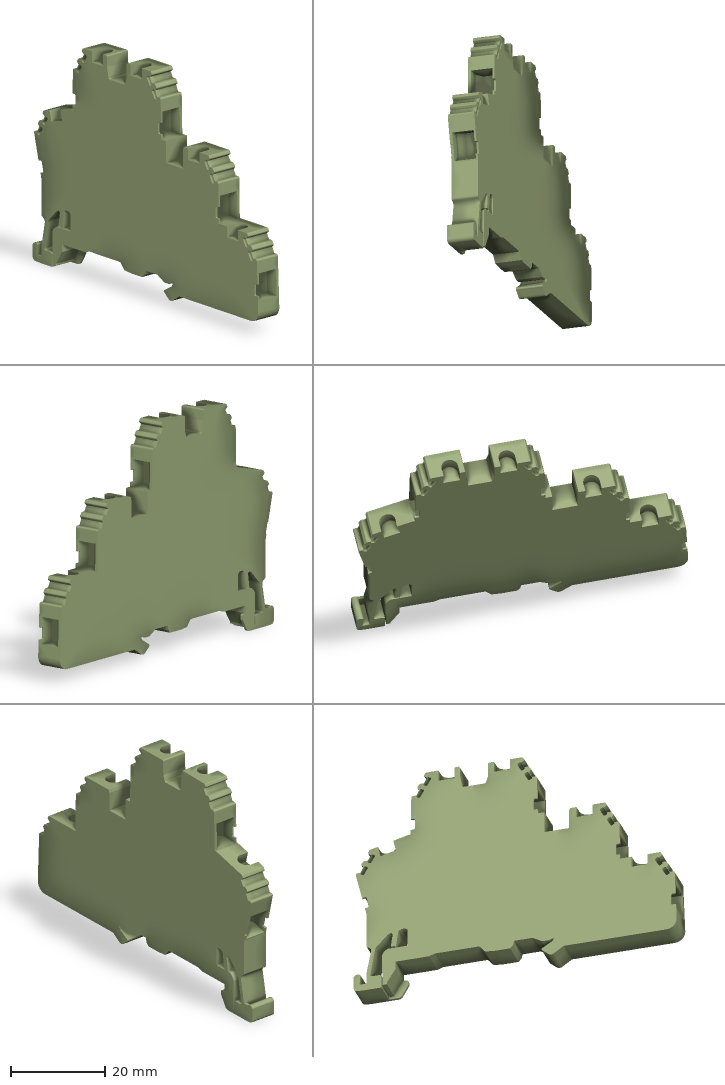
import cadquery as cq

LENGTH = 72.02
HEIGHT = 51.25
THICKNESS = 6.0
BACK_WALL = 0.65
CUT_DEPTH = THICKNESS - BACK_WALL

TOP_LEVEL = 51.05
LEVEL_STEP = 14.38
MIDDLE_LEVEL = TOP_LEVEL - LEVEL_STEP
LOW_LEVEL = MIDDLE_LEVEL - LEVEL_STEP

TOP_LEFT_X = 16.0
TOP_RIGHT_X = 37.7
MIDDLE_RIGHT_X = 56.1
LOW_RIGHT_X = 68.4
TILTED_CORNER = (3.5, 34.25)
TILT = 13.8

TOP_LEFT = (TOP_LEFT_X, TOP_LEVEL)
TOP_RIGHT = (TOP_RIGHT_X, TOP_LEVEL)
MIDDLE_RIGHT = (MIDDLE_RIGHT_X, MIDDLE_LEVEL)
LOW_RIGHT = (LOW_RIGHT_X, LOW_LEVEL)
LEFT = -1
RIGHT = 1
UPRIGHT_TERMINALS = [(TOP_LEFT, LEFT), (TOP_RIGHT, RIGHT), (MIDDLE_RIGHT, RIGHT), (LOW_RIGHT, RIGHT)]
TERMINALS = [(TILTED_CORNER, LEFT)] + UPRIGHT_TERMINALS

FLANK_STEPS = [
    (0.0, 0.0), (-0.4, -0.7), (0.35, -1.3), (-0.35, -2.5), (-1.3, -2.5), (-1.9, -3.3),
    (-1.4, -3.9), (-2.0, -5.2), (-3.15, -5.2),
]
FLANK_SHOULDER = FLANK_STEPS[-1]
FLANK_TIPS = [FLANK_STEPS[0], FLANK_STEPS[1], FLANK_STEPS[4], FLANK_STEPS[5]]
TIP_RADIUS = 0.25
SHOULDER_RADIUS = 0.4

SLOT_LENGTH = 2.1
SLOT_WIDTH = 0.95
SLOT_ANGLE = 60.0
SLOT_CORNER_RADIUS = 0.3
SLOT_CENTRES = [(0.4, -2.2), (-1.2, -4.85)]

WELL_RADIUS = 1.78
WELL_DEPTH = 2.45
WELL_AXIS_Y = 2.05
WELL_SETBACK = 4.65
TILTED_WELL_SETBACK = 3.7
TOP_OVERLAP = 0.5

ENTRY_HEIGHT = 6.1
ENTRY_DEPTH = 4.7
ENTRY_FRONT_TAPER_DEPTH = 3.9
ENTRY_BACK_TAPER_DEPTH = 2.9
ENTRY_FLOOR_LIP = 0.08
TILTED_ENTRY_RISE = 0.3
ENTRY_MOUTH_Y = (0.45, CUT_DEPTH)
ENTRY_FLOOR_Y = (1.3, 4.25)
NOTCH_HEIGHT = 2.65
NOTCH_DEPTH = 1.0
BACK_NOTCH_DEPTH = 0.25
NOTCH_ABOVE_ENTRY_FLOOR = 1.05
NOTCH_RADIUS = 0.3
FRONT_SKIN = (0, ENTRY_MOUTH_Y[0])
BACK_SKIN = (ENTRY_MOUTH_Y[1], THICKNESS)
ENTRY_WALL_OFFSET = 3.35
WALL_OVERLAP = 0.4

TOP_LEFT_WALL_FOOT = (12.65, 36.45)
TOP_LEFT_LEDGE_X = 12.1
TOP_RIGHT_WALL_FOOT_X = 41.05
MIDDLE_WALL_FOOT_X = 59.4
TILTED_WALL_FOOT = (2.8, 18.8)
TOP_RISE_END_X = 23.0
TOP_VALLEY_LEFT_LIP = (23.65, HEIGHT)
TOP_VALLEY_LEFT_BEND = (23.75, 48.8)
TOP_VALLEY_FLOOR = [(24.25, 46.1), (29.4, 46.1)]
TOP_VALLEY_RIGHT_BEND = (29.9, 47.6)
TOP_VALLEY_RIGHT_LIP = (29.95, TOP_LEVEL)
VALLEY_RADIUS = 0.3
MIDDLE_VALLEY_LEFT_X = 42.5
MIDDLE_VALLEY_RIGHT_X = 48.0
MIDDLE_VALLEY_FLOOR_Z = 31.8
MIDDLE_VALLEY_LIP_DROP = 0.7
MIDDLE_VALLEY_LIP_STEP = 0.2
END_RADIUS = 2.3
BASE_Z = 3.05
RAIL_Z = 6.25
BOSS_Z = 4.55

FOOT_END_X = 6.15
FOOT_CORNER = (0, 0.1)
FOOT_RADIUS = 0.8
ARM_ROOT = (4.0, 9.95)
WALL_END = (2.8, 10.6)
ARM_ROOT_RADIUS = 0.9
WALL_END_RADIUS = 0.5
FOOT_TOP_Z = 3.85
FOOT_GAP_Z = 1.0
TOOL_SLOT_FLOOR_Z = 1.55
TOOL_SLOT_BACK_X = 2.8
LEG_X = 6.45
LEG_UPPER_X = 6.3
LEG_STEP_Z = 3.7
LEG_TIP_Z = 0.6
LEG_TIP_BACK_X = 7.4
LEG_SHOULDER_Z = 5.8
CATCH_X = 10.5
CATCH_TOP_Z = 4.05
LEG_BACK_X = 9.35
WINDOW_FLOOR_Z = 9.27
REAR_WINDOW_X = 12.0
REAR_WINDOW_TOP_Z = 13.6
WEB_FRONT_X = 8.2
WEB_GAP = 0.4
CLEARANCE = 0.6


def prism(points, y_start, y_end):
    """Solid with an XZ outline between two Y positions."""
    return cq.Workplane("XZ", origin=(0, y_start, 0)).polyline(points).close().extrude(y_start - y_end)


def rounded(body, corners, radius):
    """Round the edges along Y that stand at the given XZ corners."""
    for x, z in corners:
        edge = cq.selectors.NearestToPointSelector((x, body.val().Center().y, z))
        body = body.edges("|Y").edges(edge).fillet(radius)
    return body


def flank_points(corner, side, steps=FLANK_STEPS):
    """Steps placed below a terminal corner, mirrored for a right-hand flank."""
    return [(corner[0] - side * dx, corner[1] + dz) for dx, dz in steps]


def upper_outline():
    """Outline from the tilted wall foot over all terminals to the right-hand end wall."""
    top_valley = [(TOP_RISE_END_X, HEIGHT), TOP_VALLEY_LEFT_LIP, TOP_VALLEY_LEFT_BEND, *TOP_VALLEY_FLOOR,
                  TOP_VALLEY_RIGHT_BEND, TOP_VALLEY_RIGHT_LIP]
    middle_valley = [
        (TOP_RIGHT_WALL_FOOT_X, MIDDLE_LEVEL),
        (MIDDLE_VALLEY_LEFT_X, MIDDLE_LEVEL),
        (MIDDLE_VALLEY_LEFT_X, MIDDLE_VALLEY_FLOOR_Z),
        (MIDDLE_VALLEY_RIGHT_X, MIDDLE_VALLEY_FLOOR_Z),
        (MIDDLE_VALLEY_RIGHT_X, MIDDLE_LEVEL - MIDDLE_VALLEY_LIP_DROP),
        (MIDDLE_VALLEY_RIGHT_X + MIDDLE_VALLEY_LIP_STEP, MIDDLE_LEVEL),
    ]
    return (
        [TILTED_WALL_FOOT]
        + flank_points(TILTED_CORNER, LEFT)[::-1]
        + [(TOP_LEFT_LEDGE_X, TOP_LEFT_WALL_FOOT[1]), TOP_LEFT_WALL_FOOT]
        + flank_points(TOP_LEFT, LEFT)[::-1]
        + top_valley
        + flank_points(TOP_RIGHT, RIGHT)
        + middle_valley
        + flank_points(MIDDLE_RIGHT, RIGHT)
        + [(MIDDLE_WALL_FOOT_X, LOW_LEVEL)]
        + flank_points(LOW_RIGHT, RIGHT)
        + [(LENGTH, BASE_Z + END_RADIUS)]
    )


def housing():
    outline = cq.Workplane("XZ").polyline(upper_outline())
    outline = outline.radiusArc((LENGTH - END_RADIUS, BASE_Z), END_RADIUS)
    outline = outline.lineTo(46.8, BASE_Z).lineTo(44.8, 1.75)
    outline = outline.threePointArc((44.05, 1.45), (43.3, 1.75))
    outline = outline.lineTo(42.1, 2.75).threePointArc((41.85, 3.1), (42.1, 3.4))
    outline = outline.lineTo(44.4, 4.75).lineTo(44.7, 5.45).lineTo(43.4, 5.05).lineTo(42.0, 5.05)
    outline = outline.lineTo(39.8, RAIL_Z).lineTo(35.75, RAIL_Z)
    outline = outline.lineTo(35.5, 5.2).lineTo(34.9, BOSS_Z).lineTo(31.5, BOSS_Z).lineTo(29.3, 4.75)
    outline = outline.lineTo(28.0, RAIL_Z).lineTo(18.1, RAIL_Z).lineTo(16.8, LEG_SHOULDER_Z)
    outline = outline.lineTo(LEG_BACK_X, LEG_SHOULDER_Z).lineTo(LEG_BACK_X, CATCH_TOP_Z)
    outline = outline.lineTo(10.0, CATCH_TOP_Z).threePointArc((10.37, 3.9), (CATCH_X, 3.55))
    outline = outline.lineTo(CATCH_X, 2.9).lineTo(9.2, 0.7).threePointArc((8.8, 0.2), (8.2, 0))
    outline = outline.lineTo(2.5, 0).lineTo(*FOOT_CORNER).lineTo(0, 3.6)
    outline = outline.threePointArc((0.75, 4.15), (1.5, FOOT_TOP_Z)).lineTo(TOOL_SLOT_BACK_X, FOOT_TOP_Z)
    outline = outline.lineTo(*ARM_ROOT).lineTo(*WALL_END).close()
    body = outline.extrude(-THICKNESS)

    for corner, side in TERMINALS:
        body = rounded(body, flank_points(corner, side, FLANK_TIPS), TIP_RADIUS)
        body = rounded(body, flank_points(corner, side, [FLANK_SHOULDER]), SHOULDER_RADIUS)
    body = rounded(body, [TOP_VALLEY_LEFT_LIP, *TOP_VALLEY_FLOOR, TOP_VALLEY_RIGHT_LIP], VALLEY_RADIUS)
    body = rounded(body, [ARM_ROOT], ARM_ROOT_RADIUS)
    body = rounded(body, [WALL_END], WALL_END_RADIUS)
    return rounded(body, [FOOT_CORNER], FOOT_RADIUS)


def spring_windows():
    """Through openings that free the spring arm and the leg."""
    arm_window = (
        cq.Workplane("XZ")
        .moveTo(FOOT_END_X, FOOT_GAP_Z).lineTo(LEG_X, FOOT_GAP_Z).lineTo(LEG_X, LEG_STEP_Z)
        .lineTo(LEG_UPPER_X, LEG_STEP_Z).lineTo(LEG_UPPER_X, 7.8)
        .threePointArc((6.75, 8.65), (7.6, WINDOW_FLOOR_Z)).lineTo(WEB_FRONT_X, WINDOW_FLOOR_Z)
        .lineTo(8.67, 12.5).threePointArc((8.5, 12.9), (8.1, 13.0)).lineTo(7.5, 12.65)
        .lineTo(4.96, 10.05).lineTo(4.77, 9.6).lineTo(3.74, 3.7)
        .threePointArc((3.8, 3.3), (4.15, 3.15)).lineTo(5.6, 3.15).lineTo(FOOT_END_X, 3.0)
        .close().extrude(-THICKNESS)
    )
    rear_window = prism(
        [(LEG_BACK_X, WINDOW_FLOOR_Z), (REAR_WINDOW_X, WINDOW_FLOOR_Z), (REAR_WINDOW_X, 13.15),
         (11.6, REAR_WINDOW_TOP_Z), (10.6, REAR_WINDOW_TOP_Z), (9.95, 13.15)], 0, THICKNESS)
    return arm_window.union(rear_window)


def foot_recesses():
    """Cuts from the front face that leave only the back wall."""
    tool_slot = prism(
        [(1.55, FOOT_TOP_Z + CLEARANCE), (1.3, TOOL_SLOT_FLOOR_Z), (TOOL_SLOT_BACK_X, TOOL_SLOT_FLOOR_Z),
         (TOOL_SLOT_BACK_X, FOOT_TOP_Z + CLEARANCE)], 0, CUT_DEPTH)
    catch_recess = prism(
        [(FOOT_END_X, -CLEARANCE), (FOOT_END_X, FOOT_GAP_Z), (LEG_X, FOOT_GAP_Z), (LEG_X, LEG_TIP_Z),
         (LEG_TIP_BACK_X, LEG_TIP_Z), (LEG_TIP_BACK_X, FOOT_GAP_Z), (LEG_BACK_X, CATCH_TOP_Z),
         (LEG_BACK_X, CATCH_TOP_Z + CLEARANCE), (CATCH_X + CLEARANCE, CATCH_TOP_Z + CLEARANCE),
         (CATCH_X + CLEARANCE, -CLEARANCE)], 0, CUT_DEPTH)
    gap_top_z = WINDOW_FLOOR_Z + WEB_GAP
    web_gap = prism(
        [(WEB_FRONT_X, WINDOW_FLOOR_Z), (LEG_BACK_X, WINDOW_FLOOR_Z), (LEG_BACK_X, gap_top_z),
         (WEB_FRONT_X, gap_top_z)], 0, CUT_DEPTH)
    return tool_slot.union(catch_recess).union(web_gap)


def marker_slots(corner, side):
    """Two slots in a stepped flank."""
    centres = flank_points(corner, side, SLOT_CENTRES)
    slot = (cq.Workplane("XZ").rect(SLOT_LENGTH, SLOT_WIDTH).extrude(-CUT_DEPTH)
            .edges("|Y").fillet(SLOT_CORNER_RADIUS)
            .rotate((0, 0, 0), (0, 1, 0), side * SLOT_ANGLE))
    first, second = [slot.translate((x, 0, z)) for x, z in centres]
    return first.union(second)


def screw_well(x, z):
    """Round-backed well sunk from a terminal top at (x, z) and open to the front face."""
    height = WELL_DEPTH + TOP_OVERLAP
    bore = (cq.Workplane("XY", origin=(x, WELL_AXIS_Y, z - WELL_DEPTH))
            .circle(WELL_RADIUS).extrude(height))
    mouth = cq.Workplane("XY").box(2 * WELL_RADIUS, WELL_AXIS_Y, height, centered=(True, False, False))
    return bore.union(mouth.translate((x, 0, z - WELL_DEPTH)))


def wire_entry(x, floor_z, side):
    """Tapered entry in an upright wall at x."""
    mouth_front, mouth_back = ENTRY_MOUTH_Y
    floor_front, floor_back = ENTRY_FLOOR_Y
    inner_x = x - side * ENTRY_DEPTH
    outer_x = x + side * WALL_OVERLAP
    return (
        cq.Workplane("XY", origin=(0, 0, floor_z))
        .polyline([
            (outer_x, mouth_front), (x - side * ENTRY_FRONT_TAPER_DEPTH, mouth_front),
            (inner_x, floor_front), (inner_x, floor_back),
            (x - side * ENTRY_BACK_TAPER_DEPTH, mouth_back), (outer_x, mouth_back),
        ])
        .close().extrude(ENTRY_HEIGHT)
    )


def entry_notch(x, floor_z, side, depth, y_range):
    """Notch in the housing wall between a wire entry and one of the flat faces."""
    y_start, y_end = y_range
    bottom = floor_z + NOTCH_ABOVE_ENTRY_FLOOR
    top = bottom + NOTCH_HEIGHT
    inner_x = x - side * depth
    outer_x = x + side * WALL_OVERLAP
    notch = prism([(inner_x, bottom), (inner_x, top), (outer_x, top), (outer_x, bottom)], y_start, y_end)
    return rounded(notch, [(inner_x, bottom), (inner_x, top)], min(NOTCH_RADIUS, depth / 2))


def tilted(tool, pivot):
    """Lean a tool made for an upright terminal to suit the lower left one."""
    return tool.rotate((pivot[0], 0, pivot[1]), (pivot[0], 1, pivot[1]), -TILT)


def tilted_entry():
    wall_x = TILTED_WALL_FOOT[0]
    floor_z = TILTED_WALL_FOOT[1] + TILTED_ENTRY_RISE
    entry = wire_entry(wall_x, floor_z, LEFT)
    entry = entry.union(entry_notch(wall_x, floor_z, LEFT, NOTCH_DEPTH, FRONT_SKIN))
    entry = entry.union(entry_notch(wall_x, floor_z, LEFT, BACK_NOTCH_DEPTH, BACK_SKIN))
    return tilted(entry, TILTED_WALL_FOOT)


result = housing().cut(spring_windows()).cut(foot_recesses())

for corner, side in TERMINALS:
    result = result.cut(marker_slots(corner, side))

for corner, side in UPRIGHT_TERMINALS:
    entry_x = corner[0] + side * ENTRY_WALL_OFFSET
    entry_z = TOP_LEFT_WALL_FOOT[1] + ENTRY_FLOOR_LIP if side == LEFT else corner[1] - LEVEL_STEP
    result = result.cut(screw_well(corner[0] - side * WELL_SETBACK, corner[1]))
    result = result.cut(wire_entry(entry_x, entry_z, side))
    result = result.cut(entry_notch(entry_x, entry_z, side, NOTCH_DEPTH, FRONT_SKIN))

tilted_well = screw_well(TILTED_CORNER[0] + TILTED_WELL_SETBACK, TILTED_CORNER[1])
result = result.cut(tilted(tilted_well, TILTED_CORNER))
result = result.cut(tilted_entry())